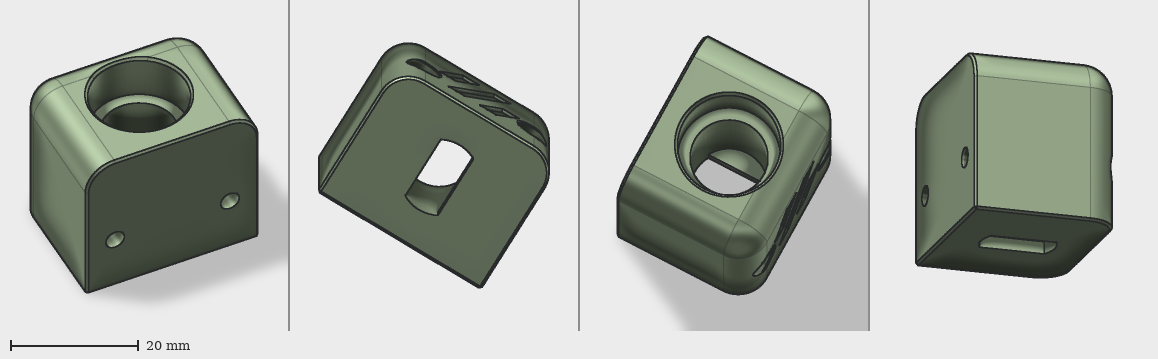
import cadquery as cq

length_x = 24.0
width_y = 30.0
height_z = 27.0
corner_radius = 5.0
edge_chamfer = 0.4

bore_x = length_x / 2
bore_diameter = 16.15
bore_depth = 7.8
bore_chamfer = 0.45
inner_diameter = 12.2
floor_thickness = 2.0
slot_width = 6.0

screw_y = width_y / 2 - corner_radius
screw_z = 10.0
screw_diameter = 3.2
head_diameter = 5.65
head_depth = 12.0
head_chamfer = 0.2

groove_width = 3.05
groove_center_z = 12.7
short_groove_rise = 6.55
long_groove_rise = 2 * short_groove_rise
groove_run_per_rise = 0.64
short_groove_offset_y = 3.65
groove_depth = 0.45
bevel_angle = 45


def make_body():
    """Block with a rounded X = 0 face and top, and chamfered edges around the base and the far X face."""
    block = cq.Workplane("XY").box(length_x, width_y, height_z, centered=(False, True, False))
    rounded = block.edges("(<X and |Z) or (>Z and (not >X))").fillet(corner_radius)
    return rounded.faces(">X or <Z").edges().chamfer(edge_chamfer)


def bore_cylinder(diameter, bottom, top):
    """Vertical cylinder on the bore axis."""
    return cq.Workplane("XY", origin=(bore_x, 0, bottom)).circle(diameter / 2).extrude(top - bottom)


def cut_bore(body):
    """Wide bore with a bevelled mouth, narrower bore below it, then the floor slot."""
    seat_z = height_z - bore_depth
    body = body.cut(bore_cylinder(bore_diameter, seat_z, height_z))

    margin = 0.3
    mouth_reach = bore_diameter / 2 + margin
    mouth_box = cq.selectors.BoxSelector(
        (bore_x - mouth_reach, -mouth_reach, height_z - corner_radius),
        (bore_x + mouth_reach, mouth_reach, height_z + margin),
        boundingbox=True,
    )
    body = body.edges(mouth_box).chamfer(bore_chamfer)

    body = body.cut(bore_cylinder(inner_diameter, floor_thickness, seat_z))
    slot = cq.Workplane("XY").box(length_x, slot_width, floor_thickness, centered=(False, True, False))
    return body.cut(bore_cylinder(inner_diameter, 0, floor_thickness).intersect(slot))


def screw_hole(y):
    """Through hole with a deep counterbore whose mouth is bevelled."""
    plane = cq.Workplane("YZ", origin=(0, y, screw_z))
    shank = plane.circle(screw_diameter / 2).extrude(length_x)
    head = plane.circle(head_diameter / 2).extrude(head_depth)
    bevel = plane.circle(head_diameter / 2 + head_chamfer).extrude(head_chamfer, taper=bevel_angle)
    return shank.union(head).union(bevel)


def groove(center_y, center_z, rise):
    """Bevelled groove in the X = 0 face, leaning towards -Y as it rises."""
    half_run = groove_run_per_rise * rise / 2
    half_width = groove_width / 2
    bottom_z = center_z - rise / 2
    top_z = center_z + rise / 2
    corners = [
        (center_y + half_run + half_width, bottom_z),
        (center_y + half_run - half_width, bottom_z),
        (center_y - half_run - half_width, top_z),
        (center_y - half_run + half_width, top_z),
    ]
    return cq.Workplane("YZ").polyline(corners).close().extrude(groove_depth, taper=bevel_angle)


result = cut_bore(make_body())
result = result.cut(groove(0, groove_center_z, long_groove_rise))
for side in (-1, 1):
    result = result.cut(screw_hole(side * screw_y))
    short_groove_z = groove_center_z + side * short_groove_rise / 2
    result = result.cut(groove(side * short_groove_offset_y, short_groove_z, short_groove_rise))